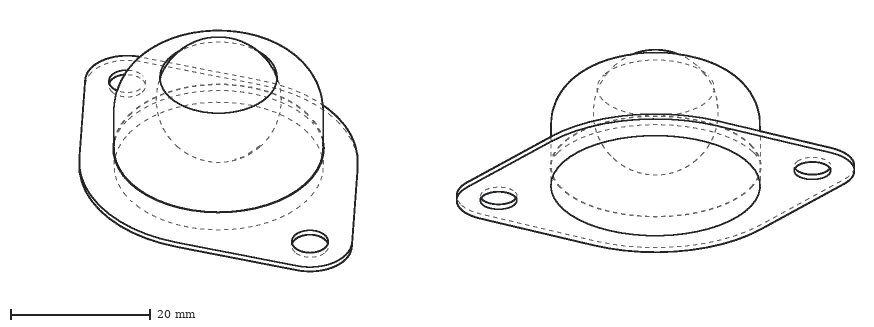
import cadquery as cq
import math

LENGTH = 58.0
SHEET = 0.8
MIDDLE_RADIUS = 20.0
HOLE_X = 22.95
HOLE_RADIUS = 2.6
FLARE_RADIUS = 2.4
LIP = 0.1

HOUSING_RADIUS = 15.0
HOUSING_HEIGHT = 16.0
DOME_RADIUS = 6.0
OPENING_RADIUS = 8.4

TOTAL_HEIGHT = 21.0
BALL_RADIUS = 9.0
BALL_Z = TOTAL_HEIGHT - BALL_RADIUS


def make_ball():
    return cq.Workplane("XY").sphere(BALL_RADIUS).translate((0, 0, BALL_Z))


def make_housing(ball):
    """Domed cylinder with a spherical seat that opens through the top."""
    body = (
        cq.Workplane("XY")
        .circle(HOUSING_RADIUS)
        .extrude(HOUSING_HEIGHT)
        .faces(">Z")
        .edges()
        .fillet(DOME_RADIUS)
    )
    opening = (
        cq.Workplane("XY", origin=(0, 0, BALL_Z))
        .circle(OPENING_RADIUS)
        .extrude(HOUSING_HEIGHT - BALL_Z)
    )
    return body.cut(opening).cut(ball)


def make_plate():
    """Flat plate with rounded ends joined to the large arcs by tangent lines."""
    end_radius = LENGTH / 2 - HOLE_X
    tangent_angle = math.acos((MIDDLE_RADIUS - end_radius) / HOLE_X)
    cosine = math.cos(tangent_angle)
    sine = math.sin(tangent_angle)
    middle_x = MIDDLE_RADIUS * cosine
    middle_y = MIDDLE_RADIUS * sine
    end_x = HOLE_X + end_radius * cosine
    end_y = end_radius * sine
    return (
        cq.Workplane("XY")
        .moveTo(-middle_x, middle_y)
        .threePointArc((0, MIDDLE_RADIUS), (middle_x, middle_y))
        .lineTo(end_x, end_y)
        .threePointArc((LENGTH / 2, 0), (end_x, -end_y))
        .lineTo(middle_x, -middle_y)
        .threePointArc((0, -MIDDLE_RADIUS), (-middle_x, -middle_y))
        .lineTo(-end_x, -end_y)
        .threePointArc((-LENGTH / 2, 0), (-end_x, end_y))
        .close()
        .extrude(SHEET)
    )


def make_collar():
    """Flared ring that rises from the plate around the housing."""
    lip_radius = HOUSING_RADIUS + LIP
    foot_radius = lip_radius + FLARE_RADIUS
    lip_z = SHEET + FLARE_RADIUS
    arc_offset = FLARE_RADIUS * math.sqrt(0.5)
    arc_middle = (foot_radius - arc_offset, lip_z - arc_offset)
    return (
        cq.Workplane("XZ")
        .moveTo(HOUSING_RADIUS, 0)
        .lineTo(foot_radius, 0)
        .lineTo(foot_radius, SHEET)
        .threePointArc(arc_middle, (lip_radius, lip_z))
        .lineTo(HOUSING_RADIUS, lip_z)
        .close()
        .revolve(360, (0, 0, 0), (0, 1, 0))
    )


def make_flange():
    """Plate and collar, with a bore for the housing and two mounting holes."""
    bore = cq.Workplane("XY").circle(HOUSING_RADIUS).extrude(SHEET)
    mounting_holes = (
        cq.Workplane("XY")
        .pushPoints([(-HOLE_X, 0), (HOLE_X, 0)])
        .circle(HOLE_RADIUS)
        .extrude(SHEET)
    )
    return make_plate().cut(bore).union(make_collar()).cut(mounting_holes)


ball = make_ball()
housing = make_housing(ball)
flange = make_flange()

result = cq.Compound.makeCompound([flange.val(), housing.val(), ball.val()])